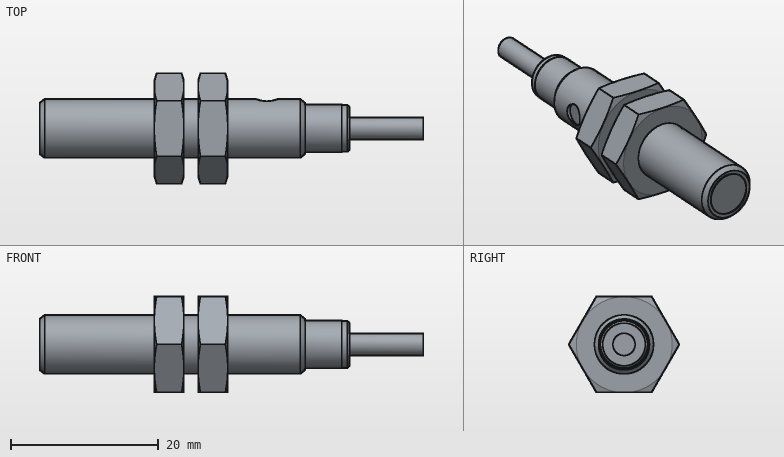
import cadquery as cq
import math

BARREL_DIAMETER = 8.0
BARREL_LENGTH = 36.0
BARREL_END_DIAMETER = 6.9
BARREL_CHAMFER_LENGTH = 0.7

FACE_RECESS_DIAMETER = 5.9
FACE_RECESS_DEPTH = 0.1

SLEEVE_DIAMETER = 6.5
COLLAR_DIAMETER = 6.4
COLLAR_START = 40.95
COLLAR_END = 42.05
COLLAR_CHAMFER = 0.3

CABLE_DIAMETER = 3.0
CABLE_END = 52.05

INDICATOR_DIAMETER = 3.0
INDICATOR_X = 30.8
INDICATOR_DEPTH = 0.5

NUT_ACROSS_FLATS = 13.0
NUT_ACROSS_CORNERS = NUT_ACROSS_FLATS / math.cos(math.pi / 6)
NUT_THICKNESS = 4.0
NUT_CHAMFER_LENGTH = 0.3
NUT_GAP = 1.9
FIRST_NUT_X = 15.55
NUT_COUNT = 2


def rod(diameter, start, end):
    """Round rod along X between two positions."""
    return cq.Workplane("YZ").workplane(offset=start).circle(diameter / 2).extrude(end - start)


def make_barrel():
    barrel_radius = BARREL_DIAMETER / 2
    end_radius = BARREL_END_DIAMETER / 2
    return (
        cq.Workplane("XY")
        .polyline([
            (0, 0),
            (0, end_radius),
            (BARREL_CHAMFER_LENGTH, barrel_radius),
            (BARREL_LENGTH - BARREL_CHAMFER_LENGTH, barrel_radius),
            (BARREL_LENGTH, end_radius),
            (BARREL_LENGTH, 0),
        ])
        .close()
        .revolve(360, (0, 0, 0), (1, 0, 0))
    )


def make_indicator_hole():
    floor_y = BARREL_DIAMETER / 2 - INDICATOR_DEPTH
    return (
        cq.Workplane("XZ", origin=(INDICATOR_X, floor_y, 0))
        .circle(INDICATOR_DIAMETER / 2)
        .extrude(-BARREL_DIAMETER)
    )


def make_sensor():
    sleeve = rod(SLEEVE_DIAMETER, BARREL_LENGTH, COLLAR_START)
    collar = rod(COLLAR_DIAMETER, COLLAR_START, COLLAR_END).faces(">X").chamfer(COLLAR_CHAMFER)
    cable = rod(CABLE_DIAMETER, COLLAR_END, CABLE_END)
    face_recess = rod(FACE_RECESS_DIAMETER, 0, FACE_RECESS_DEPTH)
    solid = make_barrel().union(sleeve).union(collar).union(cable)
    return solid.cut(face_recess).cut(make_indicator_hole())


def make_nut(start):
    """Hexagon nut whose corners are cut back by a cone on both ends."""
    hexagon = (
        cq.Workplane("YZ")
        .workplane(offset=start)
        .polygon(6, NUT_ACROSS_CORNERS)
        .extrude(NUT_THICKNESS)
    )
    corner_radius = NUT_ACROSS_CORNERS / 2
    face_radius = NUT_ACROSS_FLATS / 2
    end = start + NUT_THICKNESS
    chamfer_envelope = (
        cq.Workplane("XY")
        .polyline([
            (start, 0),
            (start, face_radius),
            (start + NUT_CHAMFER_LENGTH, corner_radius),
            (end - NUT_CHAMFER_LENGTH, corner_radius),
            (end, face_radius),
            (end, 0),
        ])
        .close()
        .revolve(360, (0, 0, 0), (1, 0, 0))
    )
    return hexagon.intersect(chamfer_envelope).cut(rod(BARREL_DIAMETER, start, end))


sensor = make_sensor()
nuts = [make_nut(FIRST_NUT_X + i * (NUT_THICKNESS + NUT_GAP)) for i in range(NUT_COUNT)]

result = cq.Compound.makeCompound([sensor.val(), *[nut.val() for nut in nuts]])